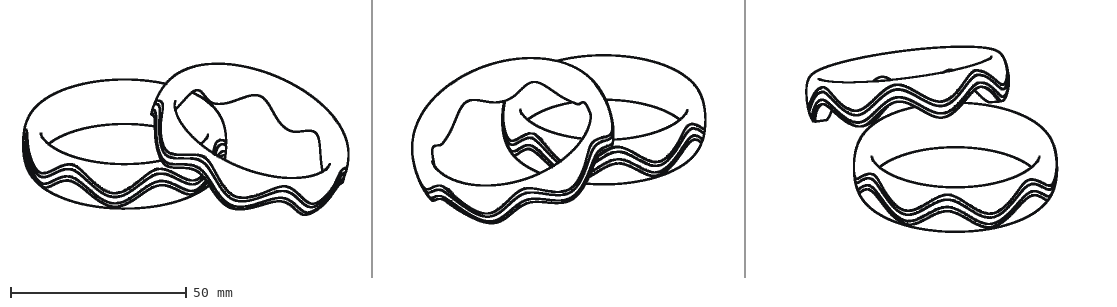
import cadquery as cq
import math

height = 13.9
bore_radius = 23.45
outer_radius = 29.0
section_power = 2.3
section_points = 24
mid_height = height / 2
half_wall = (outer_radius - bore_radius) / 2
wall_radius = (outer_radius + bore_radius) / 2

wave_count = 7
wave_amplitude = 3.25
points_per_wave = 4
inlay_offset = 1.75
inlay_width = 1.2
inlay_gap = 0.1
inlay_depth = 0.5

open_ring_x = 35.1
open_ring_z = 7.64
open_ring_tilt = 20.0

tool_inner_radius = 15.0
tool_outer_radius = 35.0
tool_base = -10.0

groove_width = inlay_width + 2 * inlay_gap
upper_inlay_level = mid_height + inlay_offset
lower_inlay_level = mid_height - inlay_offset


def section_coordinate(value):
    """Superellipse coordinate, from -1 to 1, that goes with a sine or cosine."""
    return math.copysign(abs(value) ** (2 / section_power), value)


def plain_ring():
    """Ring with a crowned outside and a comfort-fit bore, closed in one smooth surface."""
    points = []
    for i in range(section_points):
        angle = 2 * math.pi * i / section_points
        radius = wall_radius - half_wall * section_coordinate(math.cos(angle))
        z = mid_height * (1 + section_coordinate(math.sin(angle)))
        points.append((radius, z))
    section = cq.Workplane("XZ").spline(points, periodic=True).close()
    return section.revolve(360, (0, 0, 0), (0, 1, 0)).val()


def crown_radius(z):
    """Radius of the outside at a height."""
    rise = abs(z - mid_height) / mid_height
    return wall_radius + half_wall * (1 - rise**section_power) ** (1 / section_power)


def wave_curve(level, radius_at):
    """Closed wave of the given mean level, with a crest at +X, on a surface of revolution."""
    count = wave_count * points_per_wave
    points = []
    for i in range(count):
        angle = 2 * math.pi * i / count
        z = level + wave_amplitude * math.cos(wave_count * angle)
        radius = radius_at(z)
        points.append(cq.Vector(radius * math.cos(angle), radius * math.sin(angle), z))
    parameters = [i / count for i in range(count + 1)]
    return cq.Edge.makeSpline(points, periodic=True, parameters=parameters)


def inner_tool_curve(level):
    return wave_curve(level, lambda z: tool_inner_radius)


def outer_tool_curve(level):
    return wave_curve(level, lambda z: tool_outer_radius)


def crown_curve(level):
    return wave_curve(level, crown_radius)


def inlay_floor_curve(level):
    return wave_curve(level, lambda z: crown_radius(z) - inlay_depth)


def ring_between(curves):
    """Ring-shaped solid whose faces join each closed curve to the next."""
    faces = [cq.Face.makeRuledSurface(a, b) for a, b in zip(curves, curves[1:] + curves[:1])]
    return cq.Solid.makeSolid(cq.Shell.makeShell(faces))


def wave_groove(level):
    """Wavy channel from the inlay floor to beyond the outside of the ring."""
    bottom = level - groove_width / 2
    top = level + groove_width / 2
    return ring_between([
        inlay_floor_curve(bottom),
        outer_tool_curve(bottom),
        outer_tool_curve(top),
        inlay_floor_curve(top),
    ])


def wave_inlay(level):
    """Thin wavy strip, flush with the outside of the ring."""
    bottom = level - inlay_width / 2
    top = level + inlay_width / 2
    return ring_between([
        inlay_floor_curve(bottom),
        crown_curve(bottom),
        crown_curve(top),
        inlay_floor_curve(top),
    ])


def below_lower_inlay():
    """Everything in and below the lower groove; its wavy top steps up at the groove floor."""
    bottom = lower_inlay_level - groove_width / 2
    top = lower_inlay_level + groove_width / 2
    base_centre = cq.Vector(0, 0, tool_base)
    up = cq.Vector(0, 0, 1)
    return ring_between([
        inner_tool_curve(bottom),
        inlay_floor_curve(bottom),
        inlay_floor_curve(top),
        outer_tool_curve(top),
        cq.Edge.makeCircle(tool_outer_radius, base_centre, up),
        cq.Edge.makeCircle(tool_inner_radius, base_centre, up),
    ])


def place_open(body):
    """Tilt a body of the open ring and move it beside the full ring."""
    tilted = body.rotate((0, 0, 0), (0, 1, 0), open_ring_tilt)
    return tilted.translate((open_ring_x, 0, open_ring_z))


upper_groove = wave_groove(upper_inlay_level)
lower_groove = wave_groove(lower_inlay_level)
inlays = [wave_inlay(upper_inlay_level), wave_inlay(lower_inlay_level)]

full_ring = plain_ring().cut(upper_groove).cut(lower_groove).Solids()[0]
open_ring = plain_ring().cut(below_lower_inlay()).cut(upper_groove).Solids()[0]

bodies = [full_ring, *inlays]
for body in [open_ring, *inlays]:
    bodies.append(place_open(body))

result = cq.Compound.makeCompound(bodies)